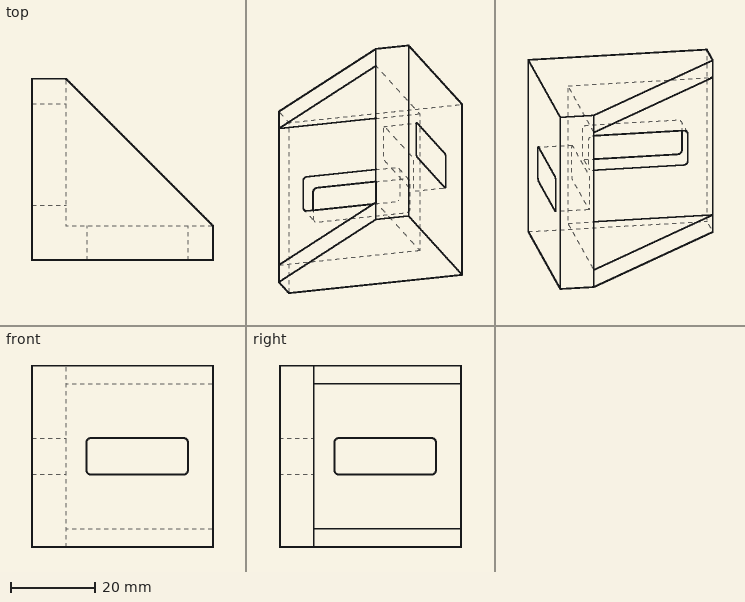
import cadquery as cq

size = 43.0
end_width = 8.1

flange_thickness = 8.1
web_thickness = 4.3

slot_start = 13.0
slot_length = 24.0
slot_height = 8.6
slot_corner_radius = 1.0
slot_centre = slot_start + slot_length / 2
mid_height = size / 2


def make_body():
    """Triangular prism with its two sharp ends cut flat."""
    outline = [(0, 0), (size, 0), (size, end_width), (end_width, size), (0, size)]
    return cq.Workplane("XY").polyline(outline).close().extrude(size)


def make_pocket():
    """Space between the webs, open towards the sloping face."""
    span = size - flange_thickness
    pocket_height = size - 2 * web_thickness
    return (
        cq.Workplane("XY")
        .box(span, span, pocket_height, centered=False)
        .translate((flange_thickness, flange_thickness, web_thickness))
    )


def make_front_slot():
    """Rounded slot through the flange on the Y = 0 face."""
    return (
        cq.Workplane("XY")
        .box(slot_length, flange_thickness, slot_height)
        .edges("|Y")
        .fillet(slot_corner_radius)
        .translate((slot_centre, flange_thickness / 2, mid_height))
    )


def make_side_slot():
    """Matching slot through the flange on the X = 0 face."""
    return (
        cq.Workplane("XY")
        .box(flange_thickness, slot_length, slot_height)
        .edges("|X")
        .fillet(slot_corner_radius)
        .translate((flange_thickness / 2, slot_centre, mid_height))
    )


result = make_body().cut(make_pocket()).cut(make_front_slot()).cut(make_side_slot())